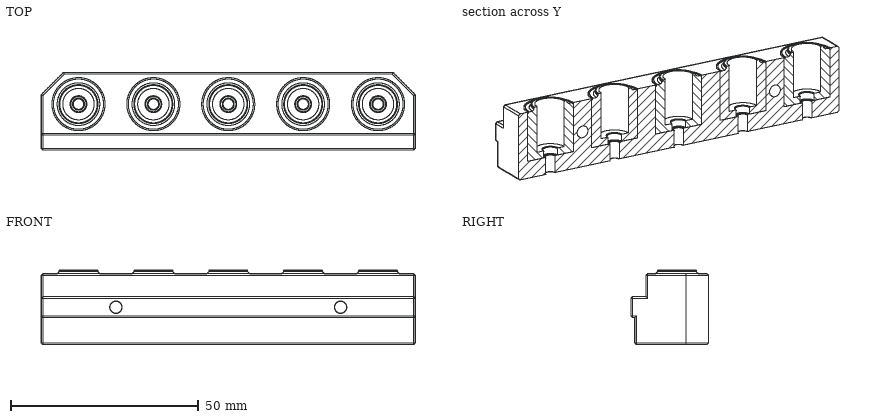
import cadquery as cq

length = 100.0
block_height = 19.0
upper_depth = 16.8
lower_depth = 19.8
rail_depth = 20.8
rail_bottom = 7.2
rail_top = 12.9
corner_cut = 6.0
edge_chamfer = 0.5

cross_hole_dia = 3.2
cross_hole_pitch = 60.0
cross_hole_height = 10.0

insert_count = 5
insert_pitch = 20.0
insert_y = -8.5
insert_dia = 14.2
insert_depth = 14.0
rim_chamfer = 0.4
collar_dia = 10.4
collar_height = 1.0
collar_flare = 0.5
collar_chamfer = 0.2
cup_dia = 8.4
cup_floor_thickness = 2.0
outlet_dia = 4.1
outlet_chamfer = 0.2

passage_dia = 2.8
passage_chamfer = 0.2

insert_bottom = block_height - insert_depth
insert_places = [
    ((index - (insert_count - 1) / 2) * insert_pitch, insert_y)
    for index in range(insert_count)
]


def edges_centred_in(low, high):
    """Selector for the edges whose centre lies in the box between two corners."""
    return cq.selectors.BoxSelector(low, high)


def long_edge_at(y, z):
    """Selector for the edge that runs along X at the given Y and Z."""
    margin = 0.1
    return edges_centred_in((-margin, y - margin, z - margin), (margin, y + margin, z + margin))


def make_bar():
    """The bar with its rail and cut corners, every edge still sharp."""
    bar = (
        cq.Workplane("YZ")
        .polyline([
            (0, 0),
            (-lower_depth, 0),
            (-lower_depth, rail_bottom),
            (-rail_depth, rail_bottom),
            (-rail_depth, rail_top),
            (-upper_depth, rail_top),
            (-upper_depth, block_height),
            (0, block_height),
        ])
        .close()
        .extrude(length / 2, both=True)
    )
    for side in (-1, 1):
        end = side * length / 2
        corner = (
            cq.Workplane("XY")
            .polyline([(end, 0), (end - side * corner_cut, 0), (end, -corner_cut)])
            .close()
            .extrude(block_height)
        )
        bar = bar.cut(corner)
    return bar


def chamfer_bar(bar):
    """Chamfers all edges but the uprights of the corner cuts and the two inner corners."""
    margin = 1.0
    cut_uprights = edges_centred_in(
        (-length, -corner_cut - margin, margin), (length, margin, block_height - margin)
    )
    inner_corners = long_edge_at(-upper_depth, rail_top) + long_edge_at(-lower_depth, rail_bottom)
    all_edges = edges_centred_in((-length, -length, -length), (length, length, length))
    return bar.edges(all_edges - cut_uprights - inner_corners).chamfer(edge_chamfer)


def make_cross_hole(x):
    return (
        cq.Workplane("XZ")
        .center(x, cross_hole_height)
        .circle(cross_hole_dia / 2)
        .extrude(rail_depth)
    )


def revolve_at(place, points):
    """Turns a closed (radius, Z) outline about the vertical axis through a place."""
    turned = cq.Workplane("XZ").polyline(points).close().revolve(360, (0, 0), (0, 1))
    return turned.translate((*place, 0))


def make_insert_cavity(place):
    """The seat of one insert and the countersunk passage below it."""
    seat = insert_dia / 2
    passage = passage_dia / 2
    return revolve_at(place, [
        (0, 0),
        (passage, 0),
        (passage, insert_bottom - passage_chamfer),
        (passage + passage_chamfer, insert_bottom),
        (seat, insert_bottom),
        (seat, block_height),
        (0, block_height),
    ])


def make_block():
    block = chamfer_bar(make_bar())
    for side in (-1, 1):
        block = block.cut(make_cross_hole(side * cross_hole_pitch / 2))
    for place in insert_places:
        block = block.cut(make_insert_cavity(place))
    return block


def make_insert(place):
    rim = insert_dia / 2
    collar = collar_dia / 2
    cup = cup_dia / 2
    outlet = outlet_dia / 2
    collar_top = block_height + collar_height
    cup_floor = insert_bottom + cup_floor_thickness
    return revolve_at(place, [
        (outlet, insert_bottom),
        (rim, insert_bottom),
        (rim, block_height - rim_chamfer),
        (rim - rim_chamfer, block_height),
        (collar + collar_flare, block_height),
        (collar, block_height + collar_flare),
        (collar, collar_top - collar_chamfer),
        (collar - collar_chamfer, collar_top),
        (cup, collar_top),
        (cup, cup_floor),
        (outlet + outlet_chamfer, cup_floor),
        (outlet, cup_floor - outlet_chamfer),
    ])


block = make_block()
inserts = [make_insert(place) for place in insert_places]

result = cq.Compound.makeCompound([block.val(), *(insert.val() for insert in inserts)])